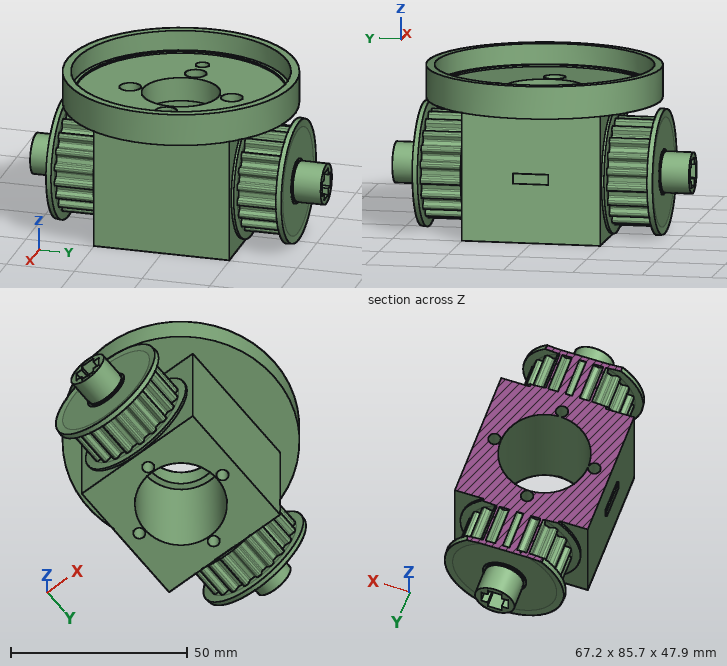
import cadquery as cq
import math


dish_diameter = 67.2
total_height = 47.9
dish_top = 29.7
dish_height = 9.3
dish_bottom = dish_top - dish_height
rim_bore_diameter = 62.4
rim_depth = 5.9
floor_diameter = 60.2
floor_step = 0.5
floor_top = dish_top - rim_depth - floor_step

housing_width = 40.0
housing_bottom = dish_top - total_height
housing_height = dish_bottom - housing_bottom
bore_diameter = 22.4
cavity_diameter = 26.1
cavity_top = floor_top - 7.0

screw_circle_radius = 15.0
screw_count = 4
screw_diameter = 3.4
screw_head_diameter = 6.2
screw_head_depth = 3.4
wire_hole_x = -21.9
wire_hole_diameter = 3.9

tab_length = 10.2
tab_height = 2.9
tab_thickness = 0.5
tab_center_z = 0.4

tooth_count = 20
tip_radius = 15.5
groove_depth = 1.8
groove_floor_width = 1.8
flank_angle = 25
tip_fillet = 0.6
root_fillet = 0.4
teeth_start = 21.0
teeth_length = 11.9
teeth_end = teeth_start + teeth_length

flange_diameter = 36.1
flange_flat_diameter = 31.3
flange_thickness = 1.5
recess_diameter = 13.0
recess_depth = 0.25
lip_angle = 6

shaft_diameter = 11.8
shaft_length = 8.1
neck_diameter = 11.5
shaft_end = 42.85
socket_span = 8.05
socket_arm_width = 4.2
socket_depth = 8.6

cutter_overlap = 0.85


def cylinder_y(diameter, start, end):
    """Cylinder on the Y axis between two Y positions."""
    return cq.Workplane("XZ", origin=(0, start, 0)).circle(diameter / 2).extrude(start - end)


def cylinder_z(diameter, bottom, top, x=0, y=0):
    """Vertical cylinder between two heights."""
    return cq.Workplane("XY", origin=(x, y, bottom)).circle(diameter / 2).extrude(top - bottom)


def make_dish():
    """Rimmed dish with a stepped floor and the wire hole through it."""
    dish = cylinder_z(dish_diameter, dish_bottom, dish_top)
    dish = dish.cut(cylinder_z(rim_bore_diameter, dish_top - rim_depth, dish_top))
    dish = dish.cut(cylinder_z(floor_diameter, floor_top, dish_top))
    return dish.cut(cylinder_z(wire_hole_diameter, dish_bottom, floor_top, wire_hole_x))


def make_housing():
    """Square block with the raised tab, which is half sunk into the -X face."""
    housing = cq.Workplane("XY", origin=(0, 0, housing_bottom)).box(
        housing_width, housing_width, housing_height, centered=(True, True, False)
    )
    tab = cq.Workplane("XY", origin=(-housing_width / 2, 0, tab_center_z)).box(
        2 * tab_thickness, tab_length, tab_height
    )
    return housing.union(tab)


def distance_from_axis(edge):
    """Distance of an edge parallel to Y from the pulley axis."""
    return math.hypot(edge.Center().x, edge.Center().z)


def make_toothed_drum():
    """Drum with rounded trapezoidal grooves between its teeth."""
    root_radius = tip_radius - groove_depth
    flank_slope = math.tan(math.radians(flank_angle))
    outer_radius = tip_radius + cutter_overlap
    floor_half = groove_floor_width / 2
    mouth_half = floor_half + (outer_radius - root_radius) * flank_slope
    groove = (
        cq.Workplane("XZ", origin=(0, teeth_start, 0))
        .polyline([
            (root_radius, -floor_half),
            (outer_radius, -mouth_half),
            (outer_radius, mouth_half),
            (root_radius, floor_half),
        ])
        .close()
        .extrude(-teeth_length)
    )
    drum = cylinder_y(2 * tip_radius, teeth_start, teeth_end)
    for i in range(tooth_count):
        drum = drum.cut(groove.rotate((0, 0, 0), (0, 1, 0), i * 360 / tooth_count))
    middle_radius = tip_radius - groove_depth / 2
    root_corners = drum.edges("|Y").filter(lambda edge: distance_from_axis(edge) < middle_radius)
    drum = root_corners.fillet(root_fillet)
    tip_corners = drum.edges("|Y").filter(lambda edge: distance_from_axis(edge) > middle_radius)
    return tip_corners.fillet(tip_fillet)


def make_flange(inner_face, direction):
    """Flange whose flat face touches the teeth at inner_face and whose lip leans along direction."""
    rim_radius = flange_diameter / 2
    flat_radius = flange_flat_diameter / 2
    angle = math.radians(lip_angle)
    lip_rise = (rim_radius - flat_radius) * math.tan(angle)
    edge_radius = rim_radius - flange_thickness * math.sin(angle)
    edge_rise = lip_rise + flange_thickness * math.cos(angle)
    profile = [
        (0, 0),
        (flat_radius, 0),
        (rim_radius, lip_rise),
        (edge_radius, edge_rise),
        (flat_radius, flange_thickness),
        (0, flange_thickness),
    ]
    points = [(radius, inner_face + direction * offset) for radius, offset in profile]
    return cq.Workplane("XY").polyline(points).close().revolve(360, (0, 0), (0, 1))


def make_pulley():
    """Pulley on the +Y side, with its flanges and shaft."""
    outer_flange = make_flange(teeth_end, 1)
    flange_face = teeth_end + flange_thickness
    outer_flange = outer_flange.cut(cylinder_y(recess_diameter, flange_face - recess_depth, flange_face))
    pulley = make_toothed_drum().union(make_flange(teeth_start, -1)).union(outer_flange)
    shaft_start = shaft_end - shaft_length
    pulley = pulley.union(cylinder_y(neck_diameter, teeth_end, shaft_start))
    pulley = pulley.union(cylinder_y(shaft_diameter, shaft_start, shaft_end))
    end_plane = cq.Workplane("XZ", origin=(0, shaft_end, 0))
    for width, height in [(socket_span, socket_arm_width), (socket_arm_width, socket_span)]:
        pulley = pulley.cut(end_plane.rect(width, height).extrude(socket_depth))
    return pulley


def cut_openings(body):
    """Central bore with its wider cavity, and counterbored screw holes."""
    body = body.cut(cylinder_z(bore_diameter, housing_bottom, floor_top))
    body = body.cut(cylinder_z(cavity_diameter, housing_bottom, cavity_top))
    for i in range(screw_count):
        angle = 2 * math.pi * i / screw_count
        x = screw_circle_radius * math.cos(angle)
        y = screw_circle_radius * math.sin(angle)
        body = body.cut(cylinder_z(screw_diameter, housing_bottom, floor_top, x, y))
        body = body.cut(cylinder_z(screw_head_diameter, floor_top - screw_head_depth, floor_top, x, y))
    return body


pulley = make_pulley()
body = make_dish().union(make_housing()).union(pulley).union(pulley.mirror("XZ"))
result = cut_openings(body)